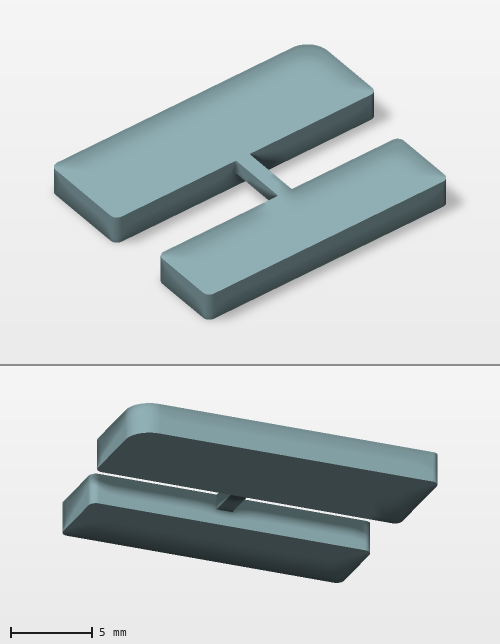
import cadquery as cq

total_width = 15.86
total_length = 20.23
thickness = 2.0

left_bar_width = 6.53
right_bar_width = 5.08
right_bar_length = 18.67
corner_radius = 0.49
large_corner_radius = 1.55

bridge_front = 9.33
bridge_width = 1.05
bridge_thickness = thickness / 2
bridge_root_radius = 0.12

right_bar_start = total_width - right_bar_width


def block(x, y, z, width, length, height):
    """Box with its minimum corner at (x, y, z)."""
    return cq.Workplane("XY").box(width, length, height, centered=False).translate((x, y, z))


def make_left_bar():
    """Longer bar, with one large corner at the outer back."""
    bar = block(0, 0, 0, left_bar_width, total_length, thickness)
    bar = bar.edges("|Z and (<Y or >X)").fillet(corner_radius)
    return bar.edges("|Z and <X and >Y").fillet(large_corner_radius)


def make_right_bar():
    """Shorter bar with four equal corners."""
    bar = block(right_bar_start, 0, 0, right_bar_width, right_bar_length, thickness)
    return bar.edges("|Z").fillet(corner_radius)


def make_bridge():
    """Bridge with small concave flares where its front side meets the bars."""
    gap = right_bar_start - left_bar_width
    radius = bridge_root_radius
    flare_front = bridge_front - radius
    return (
        cq.Workplane("XY", origin=(left_bar_width, 0, thickness - bridge_thickness))
        .moveTo(0, flare_front)
        .radiusArc((radius, bridge_front), radius)
        .lineTo(gap - radius, bridge_front)
        .radiusArc((gap, flare_front), radius)
        .lineTo(gap, bridge_front + bridge_width)
        .lineTo(0, bridge_front + bridge_width)
        .close()
        .extrude(bridge_thickness)
    )


result = make_left_bar().union(make_right_bar()).union(make_bridge())